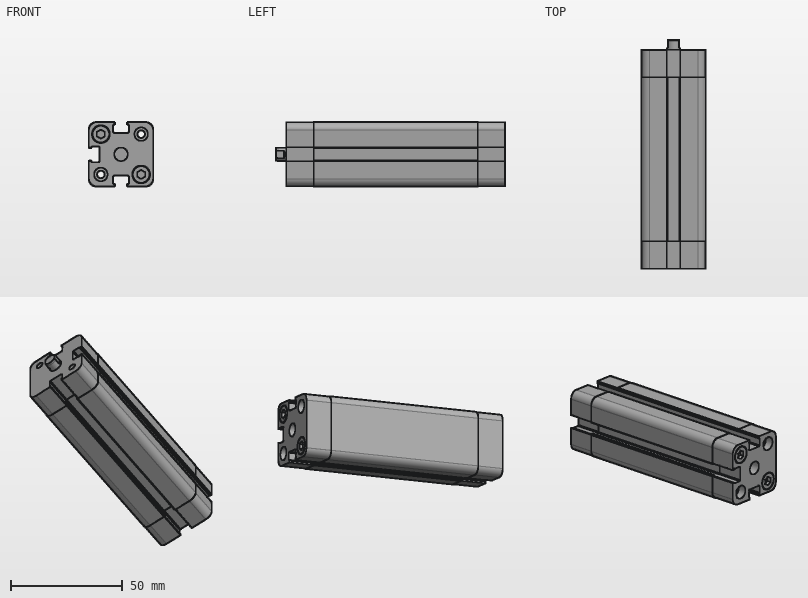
import cadquery as cq
import math

total_length = 102.5
cap_length = 12.3
rod_length = 4.5
barrel_length = total_length - 2 * cap_length - rod_length
body_length = barrel_length + 2 * cap_length

barrel_width = 29.0
cap_inset = 0.15
cap_width = barrel_width - 2 * cap_inset
barrel_corner_radius = 3.6
cap_corner_radius = barrel_corner_radius - cap_inset

slot_mouth_width = 6.3
slot_neck_width = 5.2
slot_inner_width = 7.0
slot_corner_chamfer = 0.4
slot_overshoot = 1.0
barrel_floor_height = 9.6
cap_floor_height = 9.4
lip_lead_in = 0.4
lip_land_end = 1.0
lip_thickness = 1.5
cap_lip_land_end = 0.8
cap_lip_thickness = 1.3
slot_turns = (0, 90, 180)

corner_offset = 9.0
through_hole_diameter = 3.3
mount_bore_diameter = 6.0
mount_bore_depth = 4.0
screw_bore_diameter = 8.0
screw_head_diameter = 7.5
screw_head_height = 4.0
hex_across_flats = 3.5
hex_depth = 2.0

center_hole_diameter = 6.0
center_hole_depth = 8.2

rod_diameter = 6.0
rod_flat_width = 5.0
rod_flat_length = 3.5
rod_bevel_length = 0.7
rod_bevel_depth = 0.15


def section(y):
    """Sketch plane across the part at a given Y: local x is +X, local y is +Z, extrusion runs toward -Y."""
    return cq.Workplane("XZ", origin=(0, y, 0))


def prism(sketch, length):
    """Extrude a section sketch toward +Y."""
    return sketch.extrude(-length)


def block(y, length, width, corner_radius):
    return prism(section(y).rect(width, width), length).edges("|Y").fillet(corner_radius)


def slot_cutters(y, length, surface_height, floor_height, lip_points):
    """Slots in the top, -X and bottom sides; lip_points are (half width, depth) from the mouth inward."""
    half_inner = slot_inner_width / 2
    right_side = [(lip_points[0][0], surface_height + slot_overshoot)]
    right_side += [(half_width, surface_height - depth) for half_width, depth in lip_points]
    right_side += [
        (half_inner, floor_height + slot_corner_chamfer),
        (half_inner - slot_corner_chamfer, floor_height),
    ]
    left_side = [(-x, z) for x, z in reversed(right_side)]
    cutter = prism(section(y).polyline(right_side + left_side).close(), length)
    cutters = cq.Workplane("XY")
    for turn in slot_turns:
        cutters = cutters.add(cutter.rotate((0, 0, 0), (0, 1, 0), -turn))
    return cutters.combine()


def barrel():
    lip = [
        (slot_mouth_width / 2, 0),
        (slot_neck_width / 2, lip_lead_in),
        (slot_neck_width / 2, lip_land_end),
        (slot_inner_width / 2, lip_thickness),
    ]
    body = block(cap_length, barrel_length, barrel_width, barrel_corner_radius)
    return body.cut(slot_cutters(cap_length, barrel_length, barrel_width / 2, barrel_floor_height, lip))


def cap(y):
    lip = [
        (slot_mouth_width / 2, 0),
        (slot_mouth_width / 2, cap_lip_land_end),
        (slot_inner_width / 2, cap_lip_thickness),
    ]
    body = block(y, cap_length, cap_width, cap_corner_radius)
    return body.cut(slot_cutters(y, cap_length, cap_width / 2, cap_floor_height, lip))


def mounting_holes():
    """Through holes in two opposite corners, bored wider at the front."""
    corners = [(corner_offset, corner_offset), (-corner_offset, -corner_offset)]
    holes = prism(section(0).pushPoints(corners).circle(through_hole_diameter / 2), body_length)
    bores = prism(section(0).pushPoints(corners).circle(mount_bore_diameter / 2), mount_bore_depth)
    return holes.union(bores)


def screw_recesses():
    """Ring gaps around the two screw heads, and their hex sockets."""
    corners = [(-corner_offset, corner_offset), (corner_offset, -corner_offset)]
    bores = section(0).pushPoints(corners).circle(screw_bore_diameter / 2).circle(screw_head_diameter / 2)
    gaps = prism(bores, screw_head_height)
    hex_diameter = hex_across_flats / math.cos(math.pi / 6)
    for x, z in corners:
        socket = prism(section(0).polygon(6, hex_diameter), hex_depth)
        upright_socket = socket.rotate((0, 0, 0), (0, 1, 0), 90)
        gaps = gaps.union(upright_socket.translate((x, 0, z)))
    return gaps


def rod_end():
    radius = rod_diameter / 2
    bevel_start = rod_length - rod_bevel_length
    rod_profile = [
        (0, 0),
        (radius, 0),
        (radius, bevel_start),
        (radius - rod_bevel_depth, rod_length),
        (0, rod_length),
    ]
    rod = cq.Workplane("XY").polyline(rod_profile).close().revolve(360, (0, 0, 0), (0, 1, 0))

    half_flat = rod_flat_width / 2
    ramp_end = rod_length - rod_flat_length
    ramp_start = ramp_end - (radius - half_flat)
    right_side = [(radius, 0), (radius, ramp_start), (half_flat, ramp_end), (half_flat, rod_length)]
    left_side = [(-x, y) for x, y in reversed(right_side)]
    flats = cq.Workplane("XY").polyline(right_side + left_side).close().extrude(radius, both=True)
    return rod.intersect(flats).translate((0, body_length, 0))


center_hole = prism(section(0).circle(center_hole_diameter / 2), center_hole_depth)

result = (
    barrel()
    .union(cap(0))
    .union(cap(cap_length + barrel_length))
    .union(rod_end())
    .cut(mounting_holes())
    .cut(screw_recesses())
    .cut(center_hole)
)